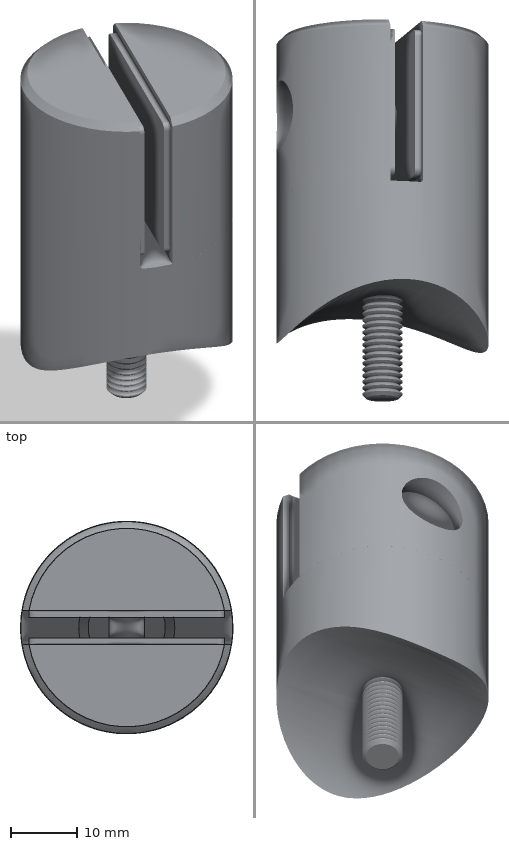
import cadquery as cq

TOTAL_HEIGHT = 55.3
POST_DIAMETER = 32.0
POST_RADIUS = POST_DIAMETER / 2
TOP_CHAMFER = 1.05

RAIL_RADIUS = 21.2
SADDLE_APEX_Z = 15.25

SLOT_HALF_WIDTH = 2.55
SLOT_DEPTH = 25.0
SLOT_FLOOR_Z = TOTAL_HEIGHT - SLOT_DEPTH
SLOT_FILLET = 0.5

GASKET_THICKNESS = 1.0
GASKET_WIDTH = 29.5
GASKET_HEIGHT = 22.4
GASKET_TOP_GAP = 1.25
GASKET_CORNER_RADIUS = 1.0

CLAMP_AXIS_Z = TOTAL_HEIGHT - SLOT_DEPTH / 2
CLAMP_SHANK_DIAMETER = 5.35
CLAMP_SHANK_RADIUS = CLAMP_SHANK_DIAMETER / 2
CLAMP_HEAD_RADIUS = 5.25
CLAMP_HEAD_HEIGHT = 5.95
CLAMP_SEAT_Y = 6.65
CLAMP_TIP_Y = -9.95

THREAD_RADIUS = 3.05
THREAD_ROOT_RADIUS = 2.5
THREAD_COUNT = 16
THREADED_LENGTH = 15.2
THREAD_PITCH = THREADED_LENGTH / THREAD_COUNT
THREAD_CREST = 0.15
TIP_CHAMFER = 0.55
COUNTERSINK_RADIUS = 7.25
STUD_HEAD_RADIUS = 5.8
COUNTERSINK_TIP_Z = SLOT_FLOOR_Z - COUNTERSINK_RADIUS


def cylinder_y(radius, y_start, y_end):
    """Cylinder on the clamp axis, from y_start to the larger y_end."""
    start = cq.Vector(0, y_start, CLAMP_AXIS_Z)
    along_y = cq.Vector(0, 1, 0)
    return cq.Workplane(cq.Solid.makeCylinder(radius, y_end - y_start, start, along_y))


def make_post():
    """Full round post, from the rail to the chamfered top, before it is split."""
    post = cq.Workplane("XY").circle(POST_RADIUS).extrude(TOTAL_HEIGHT)
    post = post.faces(">Z").chamfer(TOP_CHAMFER)
    rail = (
        cq.Workplane("YZ")
        .center(0, SADDLE_APEX_Z - RAIL_RADIUS)
        .circle(RAIL_RADIUS)
        .extrude(POST_RADIUS, both=True)
    )
    return post.cut(rail)


def make_upper_block(y_start):
    """Block above the slot floor, reaching from y_start past the back of the post."""
    return (
        cq.Workplane("XY")
        .box(POST_DIAMETER, POST_DIAMETER, SLOT_DEPTH, centered=(True, False, False))
        .translate((0, y_start, SLOT_FLOOR_Z))
    )


def make_body():
    """Post with the slot and the jaw seat cut away, and the holes for both screws."""
    cutaway = make_upper_block(-SLOT_HALF_WIDTH).edges("|X and <Y and <Z").fillet(SLOT_FILLET)
    body = make_post().cut(cutaway)
    body = body.cut(cylinder_y(CLAMP_SHANK_RADIUS, CLAMP_TIP_Y, 0))
    stud_hole = (
        cq.Workplane("XZ")
        .lineTo(THREAD_RADIUS, 0)
        .lineTo(THREAD_RADIUS, COUNTERSINK_TIP_Z + THREAD_RADIUS)
        .lineTo(COUNTERSINK_RADIUS, SLOT_FLOOR_Z)
        .lineTo(0, SLOT_FLOOR_Z)
        .close()
        .revolve(360, (0, 0, 0), (0, 1, 0))
    )
    return body.cut(stud_hole)


def make_jaw():
    """Loose half of the post, with a counterbored hole for the clamp screw."""
    jaw = make_post().intersect(make_upper_block(SLOT_HALF_WIDTH))
    jaw = jaw.cut(cylinder_y(CLAMP_SHANK_RADIUS, 0, CLAMP_SEAT_Y))
    return jaw.cut(cylinder_y(CLAMP_HEAD_RADIUS, CLAMP_SEAT_Y, POST_RADIUS))


def make_gasket(y_start):
    """Rounded plate whose lower-Y face is at y_start."""
    center_z = TOTAL_HEIGHT - GASKET_TOP_GAP - GASKET_HEIGHT / 2
    gasket = (
        cq.Workplane("XY")
        .box(GASKET_WIDTH, GASKET_THICKNESS, GASKET_HEIGHT, centered=(True, False, True))
        .edges("|Y")
        .fillet(GASKET_CORNER_RADIUS)
        .translate((0, y_start, center_z))
    )
    return gasket.cut(cylinder_y(CLAMP_SHANK_RADIUS, -SLOT_HALF_WIDTH, SLOT_HALF_WIDTH))


def make_clamp_screw():
    """Plain shank with a round head sunk in the jaw."""
    shank = cylinder_y(CLAMP_SHANK_RADIUS, CLAMP_TIP_Y, CLAMP_SEAT_Y)
    head = cylinder_y(CLAMP_HEAD_RADIUS, CLAMP_SEAT_Y, CLAMP_SEAT_Y + CLAMP_HEAD_HEIGHT)
    return shank.union(head)


def make_stud_screw():
    """Countersunk screw with ring-shaped threads and a plain shank up to its head."""
    head_top_z = COUNTERSINK_TIP_Z + STUD_HEAD_RADIUS
    flank = (THREAD_PITCH - THREAD_CREST) / 2
    profile = cq.Workplane("XZ").lineTo(THREAD_ROOT_RADIUS, 0)
    for ring in range(THREAD_COUNT):
        crest_z = TIP_CHAMFER + ring * THREAD_PITCH
        crest_end_z = crest_z + THREAD_CREST
        profile = profile.lineTo(THREAD_RADIUS, crest_z)
        profile = profile.lineTo(THREAD_RADIUS, crest_end_z)
        profile = profile.lineTo(THREAD_ROOT_RADIUS, crest_end_z + flank)
    shank_z = TIP_CHAMFER + THREAD_COUNT * THREAD_PITCH
    return (
        profile
        .lineTo(THREAD_RADIUS, shank_z)
        .lineTo(THREAD_RADIUS, COUNTERSINK_TIP_Z + THREAD_RADIUS)
        .lineTo(STUD_HEAD_RADIUS, head_top_z)
        .lineTo(0, head_top_z)
        .close()
        .revolve(360, (0, 0, 0), (0, 1, 0))
    )


body = make_body()
jaw = make_jaw()
gaskets = [make_gasket(y) for y in (-SLOT_HALF_WIDTH, SLOT_HALF_WIDTH - GASKET_THICKNESS)]
clamp_screw = make_clamp_screw()
stud_screw = make_stud_screw()

result = cq.Compound.makeCompound([
    body.val(),
    jaw.val(),
    *[gasket.val() for gasket in gaskets],
    clamp_screw.val(),
    stud_screw.val(),
])